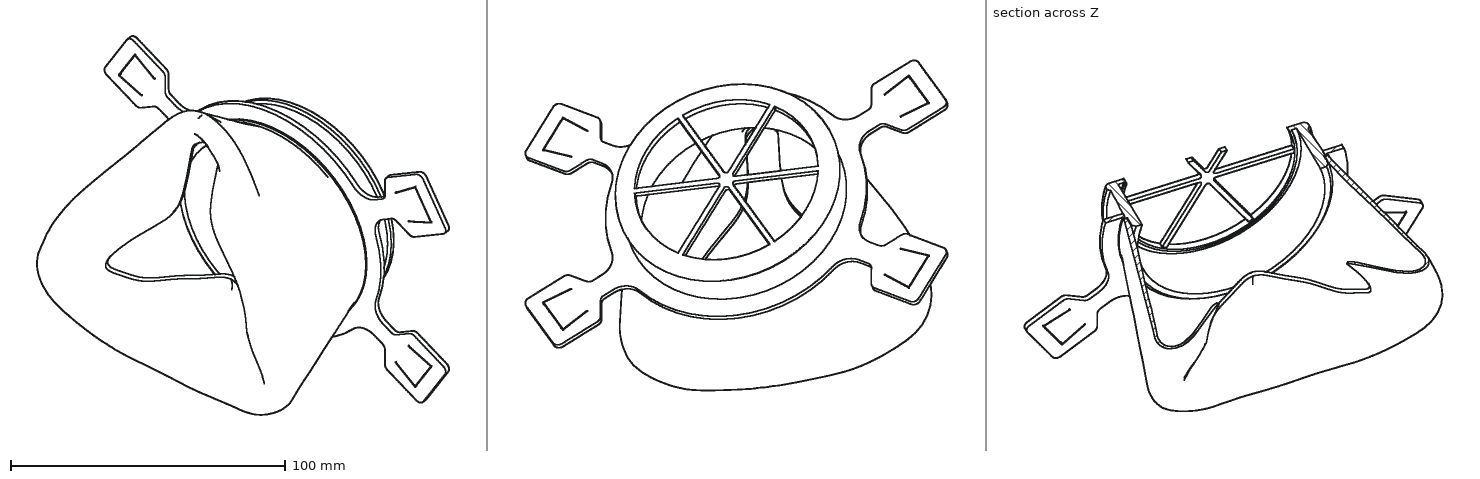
import cadquery as cq
import math


plate_thickness = 2.0
plate_radius = 48.8
arm_angles = (30, 150, 210, 330)
arm_half_width = 4.1
arm_root_fillet = 7.9
tab_neck_radius = 60.8
tab_shoulder_radius = 65.7
tab_end_radius = 84.7
tab_half_width = 12.5
tab_neck_fillet = 2.4
tab_corner_fillet = 2.4
slit_width = 0.24
slit_mouth_radius = 67.7
slit_end_radius = 78.9
slit_mouth_half_width = 6.0
slit_end_half_width = 7.4

tube_front_radius = 41.4
tube_rear_radius = 41.0
bore_radius = 37.2
flange_radius = 42.4
flange_thickness = 0.6
spigot_radius = 40.8
spigot_chamfer = 1.3
spigot_length = 5.4
bead_radius = 41.9
bead_start = 14.2
bead_crest_start = 15.1
bead_crest_end = 16.0
housing_rear = 18.0
seat_radius = 34.3
seat_thickness = 2.0
seat_lip_width = 1.0
seat_lip_height = 0.8
spoke_width = 2.0
spoke_count = 6
spoke_root_fillet = 1.0

neck_front = -2.0
spigot_front = -flange_thickness - spigot_length
socket_floor = spigot_front + spigot_chamfer
lip_wall = 1.3
lip_end_rise = 0.6
roll_lean = 0.1
section_count = 37

stations = [
    ((0.0, -42.0, 75.0), (0.0, -48.8, 70.7), (0.0, -44.5, 66.1), (0.0, -40.6, 60.3)),
    ((10.4, -41.5, 70.4), (7.5, -48.8, 66.6), (6.3, -45.4, 62.7), (5.0, -41.3, 57.6)),
    ((19.7, -42.0, 60.3), (15.9, -49.6, 57.3), (11.3, -47.1, 54.8), (6.1, -42.5, 52.0)),
    ((30.9, -45.7, 45.5), (26.5, -52.5, 42.8), (16.4, -50.7, 40.8), (6.3, -46.5, 38.7)),
    ((41.1, -52.0, 32.5), (36.5, -58.7, 29.6), (23.6, -55.0, 28.0), (10.9, -48.8, 26.5)),
    ((50.2, -58.0, 18.9), (45.4, -65.7, 17.0), (34.0, -60.5, 15.6), (22.8, -52.3, 14.0)),
    ((55.7, -61.3, 6.3), (50.4, -69.5, 5.5), (40.6, -65.4, 5.0), (31.2, -57.6, 4.0)),
    ((58.0, -62.2, -5.5), (52.0, -70.7, -3.1), (42.2, -66.5, -2.8), (32.6, -58.0, -2.4)),
    ((55.0, -60.3, -19.0), (49.1, -67.7, -15.5), (39.8, -58.6, -12.3), (31.3, -50.9, -9.1)),
    ((46.3, -55.5, -30.7), (41.4, -62.7, -25.5), (33.7, -50.4, -19.8), (26.3, -43.6, -13.7)),
    ((32.8, -49.3, -41.5), (29.0, -56.4, -35.7), (24.0, -44.1, -25.8), (18.9, -35.0, -14.5)),
    ((17.5, -44.5, -47.7), (15.7, -51.3, -42.8), (12.6, -39.2, -27.9), (9.5, -29.6, -12.9)),
    ((0.0, -42.7, -50.0), (0.0, -49.8, -46.1), (0.0, -35.5, -28.3), (0.0, -26.5, -10.7)),
]


def plane_at(y):
    """Workplane square to the neck axis, with local x along X, local y along Z and extrusion towards -Y."""
    return cq.Workplane("XZ", origin=(0, y, 0))


def upright_edges(body, radius):
    """Edges of the body parallel to the neck axis and at the given distance from it."""
    tolerance = 0.08
    return [
        edge for edge in body.edges("|Y").vals()
        if abs(math.hypot(edge.Center().x, edge.Center().z) - radius) < tolerance
    ]


def rail(points):
    """Smooth curve through one point of every station, square to the symmetry plane at both ends."""
    return cq.Edge.makeSpline(
        [cq.Vector(*p) for p in points],
        tangents=[cq.Vector(points[1][0], 0, 0), cq.Vector(-points[-2][0], 0, 0)],
        parameters=[float(i) for i in range(len(points))],
        scale=False,
    )


def cushion_section(rim, crest, lip_middle, edge):
    """Closed profile of the cushion: neck, outer wall, roll, lip, and the same back along the inside."""
    angle = math.atan2(rim.z, rim.x)
    outward = cq.Vector(math.cos(angle), 0, math.sin(angle))
    back = cq.Vector(0, 1, 0)
    inward = cq.Vector(edge.x - rim.x, 0, edge.z - rim.z).normalized()

    def on_neck(radius, y):
        return outward * radius + back * y

    neck_outer = on_neck(flange_radius, neck_front)
    neck_inner = on_neck(spigot_radius, socket_floor)
    neck_outer_end = on_neck(flange_radius, -flange_thickness)
    neck_inner_end = on_neck(spigot_radius, -flange_thickness)
    rim_inner = rim + inward * lip_wall
    crest_inner = crest + back * lip_wall
    middle_inner = lip_middle + (back - inward).normalized() * lip_wall
    edge_inner = edge + cq.Vector(0, 1, lip_end_rise) * lip_wall

    roll_start = back * -1 - inward * roll_lean
    roll_tangents = [roll_start, None, None, None]
    roll = cq.Edge.makeSpline([rim, crest, lip_middle, edge], tangents=roll_tangents)
    roll_inner = cq.Edge.makeSpline(
        [rim_inner, crest_inner, middle_inner, edge_inner], tangents=roll_tangents
    )
    return cq.Wire.assembleEdges([
        cq.Edge.makeLine(neck_outer_end, neck_outer),
        cq.Edge.makeLine(neck_outer, rim),
        roll,
        cq.Edge.makeLine(edge, edge_inner),
        roll_inner,
        cq.Edge.makeLine(rim_inner, neck_inner),
        cq.Edge.makeLine(neck_inner, neck_inner_end),
        cq.Edge.makeLine(neck_inner_end, neck_outer_end),
    ])


def make_cushion():
    rails = [rail(points) for points in zip(*stations)]
    last = len(stations) - 1
    sections = []
    for i in range(section_count):
        place = last * i / (section_count - 1)
        sections.append(cushion_section(*[r.positionAt(place, mode="parameter") for r in rails]))
    half = cq.Workplane(cq.Solid.makeLoft(sections))
    return half.union(half.mirror("YZ"))


def make_housing():
    bead_round = housing_rear - bead_crest_end
    seat_front = housing_rear - seat_thickness
    shell = (
        cq.Workplane("XY")
        .moveTo(bore_radius, spigot_front)
        .lineTo(spigot_radius - spigot_chamfer, spigot_front)
        .lineTo(spigot_radius, socket_floor)
        .lineTo(spigot_radius, -flange_thickness)
        .lineTo(flange_radius, -flange_thickness)
        .lineTo(flange_radius, 0)
        .lineTo(tube_front_radius, 0)
        .lineTo(tube_front_radius, plate_thickness)
        .lineTo(tube_rear_radius, bead_start)
        .lineTo(bead_radius, bead_crest_start)
        .lineTo(bead_radius, bead_crest_end)
        .radiusArc((bead_radius - bead_round, housing_rear), -bead_round)
        .lineTo(seat_radius, housing_rear)
        .lineTo(seat_radius, seat_front - seat_lip_height)
        .lineTo(seat_radius + seat_lip_width, seat_front - seat_lip_height)
        .lineTo(seat_radius + seat_lip_width, seat_front)
        .lineTo(bore_radius, seat_front)
        .close()
        .revolve(360, (0, 0, 0), (0, 1, 0))
    )
    bar = plane_at(housing_rear).rect(seat_radius + bore_radius, spoke_width).extrude(seat_thickness)
    spokes = bar
    for i in range(1, spoke_count // 2):
        spokes = spokes.union(bar.rotate((0, 0, 0), (0, 1, 0), i * 360 / spoke_count))
    crotch_radius = spoke_width / 2 / math.sin(math.pi / spoke_count)
    spokes = spokes.newObject(upright_edges(spokes, crotch_radius)).fillet(spoke_root_fillet)
    return shell.union(spokes)


def make_arm():
    """One arm and its tab, lying along +X and starting at the neck axis."""
    outline = [
        (0, arm_half_width),
        (tab_neck_radius, arm_half_width),
        (tab_shoulder_radius, tab_half_width),
        (tab_end_radius, tab_half_width),
    ]
    mirrored = [(x, -z) for x, z in reversed(outline)]
    return plane_at(plate_thickness).polyline(outline + mirrored).close().extrude(plate_thickness)


def make_slit():
    """Three-sided slit around a buckle tongue, open towards the neck."""
    path = [
        (slit_mouth_radius, slit_mouth_half_width),
        (slit_end_radius, slit_end_half_width),
        (slit_end_radius, -slit_end_half_width),
        (slit_mouth_radius, -slit_mouth_half_width),
    ]
    slit = cq.Workplane("XZ")
    for (x0, z0), (x1, z1) in zip(path, path[1:]):
        length = math.hypot(x1 - x0, z1 - z0)
        turn = math.degrees(math.atan2(z1 - z0, x1 - x0))
        cut = (
            plane_at(plate_thickness)
            .center((x0 + x1) / 2, (z0 + z1) / 2)
            .transformed(rotate=(0, 0, turn))
            .rect(length + slit_width, slit_width)
            .extrude(plate_thickness)
        )
        slit = slit.add(cut)
    return slit.combine()


def make_strap_plate():
    plate = plane_at(plate_thickness).circle(plate_radius).extrude(plate_thickness)
    for angle in arm_angles:
        plate = plate.union(make_arm().rotate((0, 0, 0), (0, 1, 0), angle))
    for radius, fillet in (
        (plate_radius, arm_root_fillet),
        (math.hypot(tab_neck_radius, arm_half_width), tab_neck_fillet),
        (math.hypot(tab_shoulder_radius, tab_half_width), tab_corner_fillet),
        (math.hypot(tab_end_radius, tab_half_width), tab_corner_fillet),
    ):
        plate = plate.newObject(upright_edges(plate, radius)).fillet(fillet)
    for angle in arm_angles:
        plate = plate.cut(make_slit().rotate((0, 0, 0), (0, 1, 0), angle))
    return plate.cut(plane_at(plate_thickness).circle(tube_front_radius).extrude(plate_thickness))


cushion = make_cushion()
housing = make_housing()
strap_plate = make_strap_plate()

result = cq.Compound.makeCompound([body.solids().val() for body in (cushion, housing, strap_plate)])